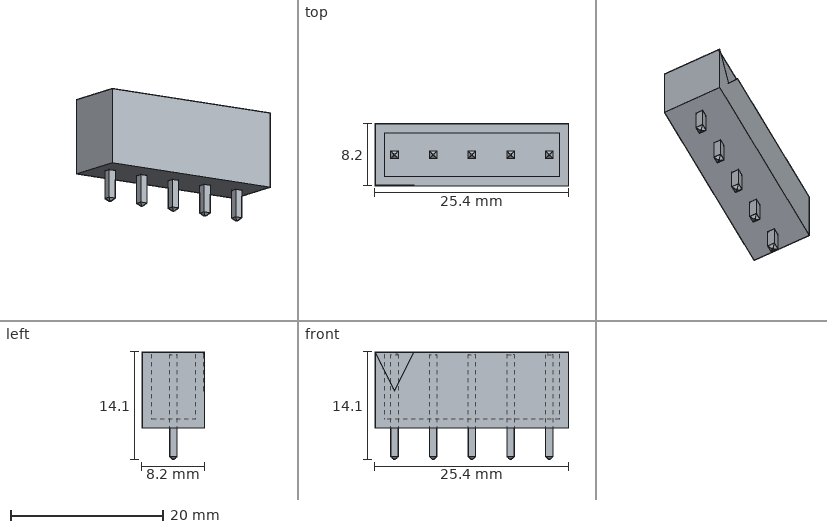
import cadquery as cq

pin_count = 5
pitch = 5.08
pin_width = 1.0
tip_length = 0.4
tip_flat_width = 0.2
tail_length = 4.1

housing_length = pin_count * pitch
housing_width = 8.2
housing_height = 10.0
wall = 1.23
floor_thickness = wall

mark_size = pitch
mark_depth = 0.16

first_pin_x = -(pin_count - 1) * pitch / 2
pin_positions = [(first_pin_x + i * pitch, 0) for i in range(pin_count)]


def make_housing():
    """Open-topped box with a pin 1 mark and a square hole for each pin."""
    box = cq.Workplane("XY").box(
        housing_length, housing_width, housing_height, centered=(True, True, False)
    )
    cavity = (
        cq.Workplane("XY", origin=(0, 0, floor_thickness))
        .rect(housing_length - 2 * wall, housing_width - 2 * wall)
        .extrude(housing_height - floor_thickness)
    )
    pin_holes = (
        cq.Workplane("XY")
        .pushPoints(pin_positions)
        .rect(pin_width, pin_width)
        .extrude(floor_thickness)
    )
    return box.cut(cavity).cut(pin_holes).cut(make_pin_1_mark())


def make_pin_1_mark():
    """Triangle hanging from the top edge, pointing down at the first pin."""
    left = first_pin_x - mark_size / 2
    return (
        cq.Workplane("XZ", origin=(0, -housing_width / 2, 0))
        .moveTo(left, housing_height)
        .lineTo(left + mark_size, housing_height)
        .lineTo(first_pin_x, housing_height - mark_size)
        .close()
        .extrude(-mark_depth)
    )


def make_tip(base_z, end_z):
    """Square taper from the full pin section at base_z to the small flat at end_z."""
    return (
        cq.Workplane("XY", origin=(0, 0, base_z))
        .rect(pin_width, pin_width)
        .workplane(offset=end_z - base_z)
        .rect(tip_flat_width, tip_flat_width)
        .loft()
    )


def make_pin(x, y):
    """Straight square pin, pointed at both ends, its top level with the housing rim."""
    bottom_z = -tail_length
    top_z = housing_height
    shank_bottom_z = bottom_z + tip_length
    shank_top_z = top_z - tip_length
    shank = (
        cq.Workplane("XY", origin=(0, 0, shank_bottom_z))
        .rect(pin_width, pin_width)
        .extrude(shank_top_z - shank_bottom_z)
    )
    lower_tip = make_tip(shank_bottom_z, bottom_z)
    upper_tip = make_tip(shank_top_z, top_z)
    return shank.union(lower_tip).union(upper_tip).translate((x, y, 0))


housing = make_housing()
pins = [make_pin(x, y) for x, y in pin_positions]

result = cq.Compound.makeCompound([housing.val(), *[pin.val() for pin in pins]])